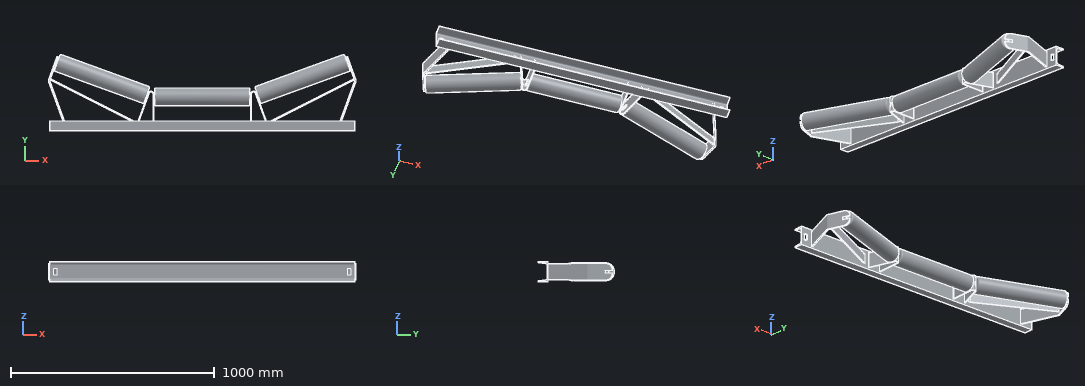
import cadquery as cq
import math

TROUGH_ANGLE = 20.0
SIN = math.sin(math.radians(TROUGH_ANGLE))
COS = math.cos(math.radians(TROUGH_ANGLE))
TAN = SIN / COS

CHANNEL_LENGTH = 1500.0
CHANNEL_HEIGHT = 100.0
CHANNEL_DEPTH = 50.0
WEB_THICKNESS = 6.0
FLANGE_THICKNESS = 8.5
FLANGE_TAPER = 0.08
ROOT_RADIUS = 8.5
TOE_RADIUS = 4.5
MOUNT_SLOT_X = 722.0
MOUNT_SLOT_LENGTH = 32.0
MOUNT_SLOT_WIDTH = 18.0
MOUNT_SLOT_CORNER_RADIUS = 5.0

ROLLER_DIAMETER = 89.0
ROLLER_LENGTH = 469.0
ROLLER_END_RADIUS = 8.0
AXLE_DIAMETER = 20.0
AXLE_FLATS = 14.0
CENTER_ROLLER_Y = 117.4
TOP_Y = 325.74
END_ROUND_X = ROLLER_LENGTH / 2 - ROLLER_END_RADIUS
END_ROUND_Y = ROLLER_DIAMETER / 2 - ROLLER_END_RADIUS
WING_ROLLER_Y = TOP_Y - ROLLER_END_RADIUS - END_ROUND_Y * COS - END_ROUND_X * SIN

BRACKET_GAP = 475.0
BRACKET_WIDTH = 80.0

INNER_THICKNESS = 5.0
INNER_TOP_Y = 146.0
INNER_BEND_RADIUS = 14.3
INNER_BEND_X = -BRACKET_GAP / 2 - INNER_BEND_RADIUS
INNER_BEND_Y = INNER_TOP_Y - INNER_BEND_RADIUS

LEAN_FACE = INNER_BEND_X * COS - INNER_BEND_Y * SIN - INNER_BEND_RADIUS
WING_ROLLER_X = (LEAN_FACE - BRACKET_GAP / 2 + WING_ROLLER_Y * SIN) / COS

OUTER_THICKNESS = 8.0
OUTER_BEND_RADIUS = 18.0
HALF_WIDTH = 755.995
OUTER_ACROSS = OUTER_THICKNESS / COS
OUTER_BEND_SHARP_X = -HALF_WIDTH - OUTER_BEND_RADIUS * (1 / COS - 1)
BEND_X = OUTER_BEND_SHARP_X + OUTER_ACROSS
OUTER_FACE = LEAN_FACE - BRACKET_GAP
BEND_Y = (BEND_X * COS - OUTER_FACE) / SIN
OUTER_FOOT_X = BEND_X + BEND_Y * TAN
OUTER_LEG_ABOVE_AXIS = 28.0
OUTER_CORNER_RADIUS = 30.0

BRACE_WIDTH = 50.0
BRACE_THICKNESS = 6.0
BRACE_FOOT_X = -344.0
BRACE_TOP_Y = 205.0


def on_wing(shape):
    """Move a shape from the frame of a roller lying along X to the left wing roller."""
    turned = shape.rotate((0, 0, 0), (0, 0, 1), -TROUGH_ANGLE)
    return turned.translate((WING_ROLLER_X, WING_ROLLER_Y, 0))


def nearest(x, y, z):
    """Selector of the edge nearest to a point."""
    return cq.selectors.NearestToPointSelector((x, y, z))


def make_channel():
    half = CHANNEL_HEIGHT / 2
    tip_z = half - FLANGE_THICKNESS + FLANGE_TAPER * CHANNEL_DEPTH / 2
    root_z = tip_z - FLANGE_TAPER * (CHANNEL_DEPTH - WEB_THICKNESS)
    profile = [
        (0, -half),
        (-CHANNEL_DEPTH, -half),
        (-CHANNEL_DEPTH, -tip_z),
        (-WEB_THICKNESS, -root_z),
        (-WEB_THICKNESS, root_z),
        (-CHANNEL_DEPTH, tip_z),
        (-CHANNEL_DEPTH, half),
        (0, half),
    ]
    channel = cq.Workplane("YZ").polyline(profile).close().extrude(CHANNEL_LENGTH / 2, both=True)
    for side in (-1, 1):
        channel = channel.edges(nearest(0, -WEB_THICKNESS, side * root_z)).fillet(ROOT_RADIUS)
        channel = channel.edges(nearest(0, -CHANNEL_DEPTH, side * tip_z)).fillet(TOE_RADIUS)
    slots = (
        cq.Workplane("XZ")
        .pushPoints([(-MOUNT_SLOT_X, 0), (MOUNT_SLOT_X, 0)])
        .rect(MOUNT_SLOT_WIDTH, MOUNT_SLOT_LENGTH)
        .extrude(CHANNEL_DEPTH)
        .edges("|Y")
        .fillet(MOUNT_SLOT_CORNER_RADIUS)
    )
    return channel.cut(slots)


def make_roller(left_plate, right_plate):
    """Roller along X with a flatted axle whose ends are flush with the plates that hold it."""
    shell = (
        cq.Workplane("XZ")
        .rect(ROLLER_LENGTH, ROLLER_DIAMETER / 2, centered=(True, False))
        .revolve(360, (0, 0, 0), (1, 0, 0))
        .faces("<X or >X")
        .edges()
        .fillet(ROLLER_END_RADIUS)
    )
    left_end = -BRACKET_GAP / 2 - left_plate
    right_end = BRACKET_GAP / 2 + right_plate
    axle = (
        cq.Workplane("YZ", origin=(left_end, 0, 0))
        .circle(AXLE_DIAMETER / 2)
        .extrude(right_end - left_end)
    )
    flats = cq.Workplane("XY").box(3 * ROLLER_LENGTH, AXLE_DIAMETER, AXLE_FLATS)
    return shell.union(axle.intersect(flats))


def axle_slot(face_x, plate):
    """Cutter for an axle slot, open upward, through a plate next to the given face."""
    return (
        cq.Workplane("XY")
        .box(3 * plate, BRACKET_WIDTH, AXLE_FLATS, centered=(True, False, True))
        .translate((face_x, -AXLE_DIAMETER / 2, 0))
    )


def make_outer_bracket():
    top_y = WING_ROLLER_Y + BRACKET_GAP / 2 * SIN + OUTER_LEG_ABOVE_AXIS * COS
    top_x = BEND_X + (top_y - BEND_Y) * TAN
    outline = [
        (OUTER_FOOT_X, 0),
        (BEND_X, BEND_Y),
        (top_x, top_y),
        (top_x - OUTER_THICKNESS * COS, top_y + OUTER_THICKNESS * SIN),
        (OUTER_BEND_SHARP_X, BEND_Y),
        (OUTER_FOOT_X - OUTER_ACROSS, 0),
    ]
    bracket = cq.Workplane("XY").polyline(outline).close().extrude(BRACKET_WIDTH / 2, both=True)
    bracket = bracket.edges(nearest(OUTER_BEND_SHARP_X, BEND_Y, 0)).fillet(OUTER_BEND_RADIUS)
    bracket = bracket.edges(nearest(BEND_X, BEND_Y, 0)).fillet(OUTER_BEND_RADIUS - OUTER_THICKNESS)
    corner_x = top_x - OUTER_THICKNESS / 2 * COS
    corner_y = top_y + OUTER_THICKNESS / 2 * SIN
    for side in (-1, 1):
        corner = nearest(corner_x, corner_y, side * BRACKET_WIDTH / 2)
        bracket = bracket.edges(corner).fillet(OUTER_CORNER_RADIUS)
    return bracket.cut(on_wing(axle_slot(-BRACKET_GAP / 2, OUTER_THICKNESS)))


def make_inner_bracket():
    inside_radius = INNER_BEND_RADIUS - INNER_THICKNESS

    def lean_tangent(radius):
        return (INNER_BEND_X - radius * COS, INNER_BEND_Y + radius * SIN)

    outer_tangent = lean_tangent(INNER_BEND_RADIUS)
    foot_x = outer_tangent[0] - outer_tangent[1] * TAN
    bracket = (
        cq.Workplane("XY")
        .moveTo(INNER_BEND_X + INNER_BEND_RADIUS, 0)
        .lineTo(INNER_BEND_X + INNER_BEND_RADIUS, INNER_BEND_Y)
        .threePointArc((INNER_BEND_X, INNER_TOP_Y), outer_tangent)
        .lineTo(foot_x, 0)
        .lineTo(foot_x + INNER_THICKNESS / COS, 0)
        .lineTo(*lean_tangent(inside_radius))
        .threePointArc(
            (INNER_BEND_X, INNER_BEND_Y + inside_radius),
            (INNER_BEND_X + inside_radius, INNER_BEND_Y),
        )
        .lineTo(INNER_BEND_X + inside_radius, 0)
        .close()
        .extrude(BRACKET_WIDTH / 2, both=True)
    )
    center_slot = axle_slot(-BRACKET_GAP / 2, INNER_THICKNESS).translate((0, CENTER_ROLLER_Y, 0))
    wing_slot = on_wing(axle_slot(BRACKET_GAP / 2, INNER_THICKNESS))
    return bracket.cut(center_slot).cut(wing_slot)


def make_brace(outer_bracket):
    """Strip from the channel back to the inside of the outer bracket bend."""
    run = BRACE_FOOT_X - BEND_X
    angle = math.degrees(math.atan2(-BRACE_TOP_Y, run))
    length = math.hypot(run, BRACE_TOP_Y)
    strip = (
        cq.Workplane("XY")
        .box(2 * length, BRACE_THICKNESS, BRACE_WIDTH)
        .rotate((0, 0, 0), (0, 0, 1), angle)
        .translate(((BRACE_FOOT_X + BEND_X) / 2, BRACE_TOP_Y / 2, 0))
    )
    room = (
        cq.Workplane("XY")
        .polyline([(OUTER_FOOT_X, 0), (BEND_X, BEND_Y), (BEND_X + TOP_Y * TAN, BEND_Y + TOP_Y), (0, 0)])
        .close()
        .extrude(BRACKET_WIDTH, both=True)
    )
    return strip.intersect(room).cut(outer_bracket)


channel = make_channel()
center_roller = make_roller(INNER_THICKNESS, INNER_THICKNESS).translate((0, CENTER_ROLLER_Y, 0))
wing_roller = on_wing(make_roller(OUTER_THICKNESS, INNER_THICKNESS))
outer_bracket = make_outer_bracket()
inner_bracket = make_inner_bracket()
brace = make_brace(outer_bracket)

bodies = [channel.val(), center_roller.val()]
for left_body in (wing_roller, outer_bracket, inner_bracket, brace):
    bodies.append(left_body.val())
    bodies.append(left_body.mirror("YZ").val())

result = cq.Compound.makeCompound(bodies)